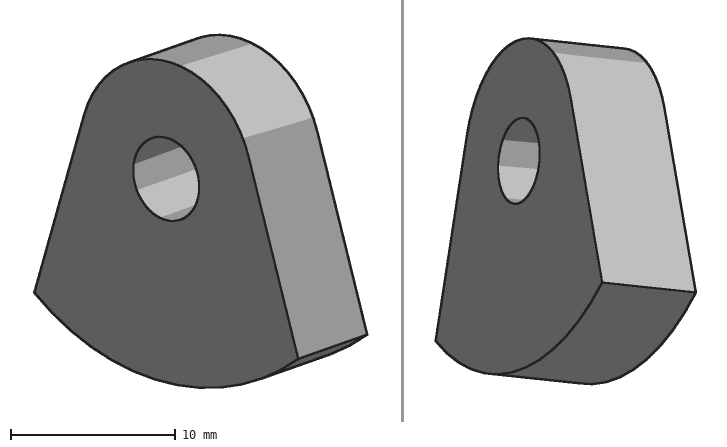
import cadquery as cq
import math

width = 21.0
thickness = 6.5
height = 20.48
top_z = 7.5
top_radius = 6.89
bottom_radius = 17.0
hole_diameter = 5.25

half_width = width / 2
bottom_z = top_z - height
bottom_sag = bottom_radius - math.sqrt(bottom_radius**2 - half_width**2)
corner_z = bottom_z + bottom_sag

top_center_z = top_z - top_radius
corner_drop = top_center_z - corner_z
corner_distance = math.hypot(half_width, corner_drop)
corner_angle = math.atan2(-corner_drop, half_width)
tangent_angle = corner_angle + math.acos(top_radius / corner_distance)
tangent_x = top_radius * math.cos(tangent_angle)
tangent_z = top_center_z + top_radius * math.sin(tangent_angle)

plate = (
    cq.Workplane("XZ")
    .moveTo(-half_width, corner_z)
    .threePointArc((0, bottom_z), (half_width, corner_z))
    .lineTo(tangent_x, tangent_z)
    .threePointArc((0, top_z), (-tangent_x, tangent_z))
    .close()
    .extrude(thickness / 2, both=True)
)

pivot_hole = (
    cq.Workplane("XZ", origin=(0, thickness / 2, 0))
    .circle(hole_diameter / 2)
    .extrude(thickness)
)

result = plate.cut(pivot_hole)